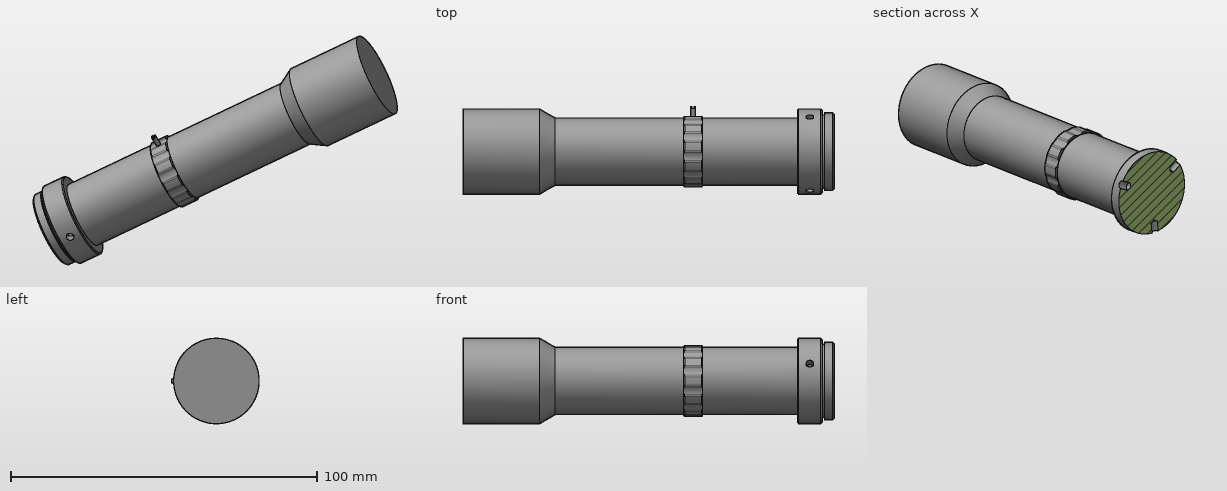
import cadquery as cq
import math

LENGTH = 121.1

HEAD_DIAMETER = 28.0
HEAD_RADIUS = HEAD_DIAMETER / 2
HEAD_END = 25.0
CONE_END = 30.0
TUBE_RADIUS = 11.0

COLLAR_RADIUS = HEAD_RADIUS
COLLAR_START = 109.1
COLLAR_END = 117.2
COLLAR_FRONT_CHAMFER = 0.4
COLLAR_REAR_CHAMFER = 0.6
NECK_RADIUS = 12.0
LIP_START = 118.0
LIP_RADIUS = 12.7
LIP_CHAMFER = 0.6

COLLAR_HOLE_COUNT = 3
COLLAR_HOLE_RADIUS = 1.2
COLLAR_HOLE_X = 113.1
COLLAR_HOLE_DEPTH = 3.5
COLLAR_HOLE_TIP = 0.7
FIRST_HOLE_ANGLE = 24.0

RING_START = 71.9
RING_WIDTH = 6.2
RING_RADIUS = 11.6
RING_CHAMFER = 0.4
GRIP_GROOVE_COUNT = 11
GRIP_GROOVE_DEPTH = 0.5
GRIP_GROOVE_RADIUS = 3.6
GRIP_EDGE_FILLET = 1.2

SCREW_RADIUS = 0.79
SCREW_LENGTH = 5.0
SCREW_X = RING_START + RING_WIDTH / 2
OVERALL_WIDTH = 28.7
SCREW_TIP = OVERALL_WIDTH - HEAD_RADIUS
SLOT_WIDTH = 0.6
SLOT_DEPTH = 0.6


def make_turned_barrel():
    """Solid of revolution: head, cone, tube, collar, neck and end lip."""
    return (
        cq.Workplane("XZ")
        .moveTo(0, 0)
        .lineTo(0, HEAD_RADIUS)
        .lineTo(HEAD_END, HEAD_RADIUS)
        .lineTo(CONE_END, TUBE_RADIUS)
        .lineTo(COLLAR_START, TUBE_RADIUS)
        .lineTo(COLLAR_START, COLLAR_RADIUS - COLLAR_FRONT_CHAMFER)
        .lineTo(COLLAR_START + COLLAR_FRONT_CHAMFER, COLLAR_RADIUS)
        .lineTo(COLLAR_END - COLLAR_REAR_CHAMFER, COLLAR_RADIUS)
        .lineTo(COLLAR_END, COLLAR_RADIUS - COLLAR_REAR_CHAMFER)
        .lineTo(COLLAR_END, NECK_RADIUS)
        .lineTo(LIP_START, NECK_RADIUS)
        .lineTo(LIP_START, LIP_RADIUS)
        .lineTo(LENGTH - LIP_CHAMFER, LIP_RADIUS)
        .lineTo(LENGTH, LIP_RADIUS - LIP_CHAMFER)
        .lineTo(LENGTH, 0)
        .close()
        .revolve(360, (0, 0, 0), (1, 0, 0))
    )


def make_collar_hole(index):
    """Cutter for one radial drilled hole in the collar, with a conical bottom."""
    bottom = COLLAR_RADIUS - COLLAR_HOLE_DEPTH
    hole = (
        cq.Workplane("XY")
        .moveTo(0, bottom - COLLAR_HOLE_TIP)
        .lineTo(COLLAR_HOLE_RADIUS, bottom)
        .lineTo(COLLAR_HOLE_RADIUS, COLLAR_RADIUS)
        .lineTo(0, COLLAR_RADIUS)
        .close()
        .revolve(360, (0, 0, 0), (0, 1, 0))
        .translate((COLLAR_HOLE_X, 0, 0))
    )
    angle = 180 - FIRST_HOLE_ANGLE - index * 360 / COLLAR_HOLE_COUNT
    return hole.rotate((0, 0, 0), (1, 0, 0), angle)


def make_ring_disc():
    """Plain disc with the outer size of the grip ring."""
    return cq.Workplane("YZ", origin=(RING_START, 0, 0)).circle(RING_RADIUS).extrude(RING_WIDTH)


def make_grip_groove(index):
    """Cutter for one grip groove; the first groove lies on the +Y side."""
    angle = index * 2 * math.pi / GRIP_GROOVE_COUNT
    center_distance = RING_RADIUS - GRIP_GROOVE_DEPTH + GRIP_GROOVE_RADIUS
    return (
        cq.Workplane("YZ", origin=(RING_START, 0, 0))
        .center(center_distance * math.cos(angle), center_distance * math.sin(angle))
        .circle(GRIP_GROOVE_RADIUS)
        .extrude(RING_WIDTH)
    )


def make_grip_ring():
    """Ring with rounded grip grooves and chamfered outer edges."""
    grooved = make_ring_disc()
    for index in range(GRIP_GROOVE_COUNT):
        grooved = grooved.cut(make_grip_groove(index))
    rounded = grooved.edges("|X").fillet(GRIP_EDGE_FILLET)
    chamfered_disc = make_ring_disc().faces("<X or >X").edges().chamfer(RING_CHAMFER)
    return rounded.intersect(chamfered_disc)


def make_barrel():
    """Barrel with its grip ring, collar holes and the socket for the screw."""
    barrel = make_turned_barrel().union(make_grip_ring())
    for index in range(COLLAR_HOLE_COUNT):
        barrel = barrel.cut(make_collar_hole(index))
    return barrel.cut(make_screw_blank())


def make_screw_blank():
    """Radial cylinder on the +Y side, seated in the barrel through the ring."""
    return (
        cq.Workplane("XZ", origin=(SCREW_X, SCREW_TIP, 0))
        .circle(SCREW_RADIUS)
        .extrude(SCREW_LENGTH)
    )


def make_screw():
    """Headless screw with a driver slot along Z across its outer end."""
    slot = (
        cq.Workplane("XZ", origin=(SCREW_X, SCREW_TIP, 0))
        .rect(SLOT_WIDTH, 2 * SCREW_RADIUS)
        .extrude(SLOT_DEPTH)
    )
    return make_screw_blank().cut(slot)


barrel = make_barrel()
screw = make_screw()
result = cq.Compound.makeCompound([barrel.solids().val(), screw.solids().val()])